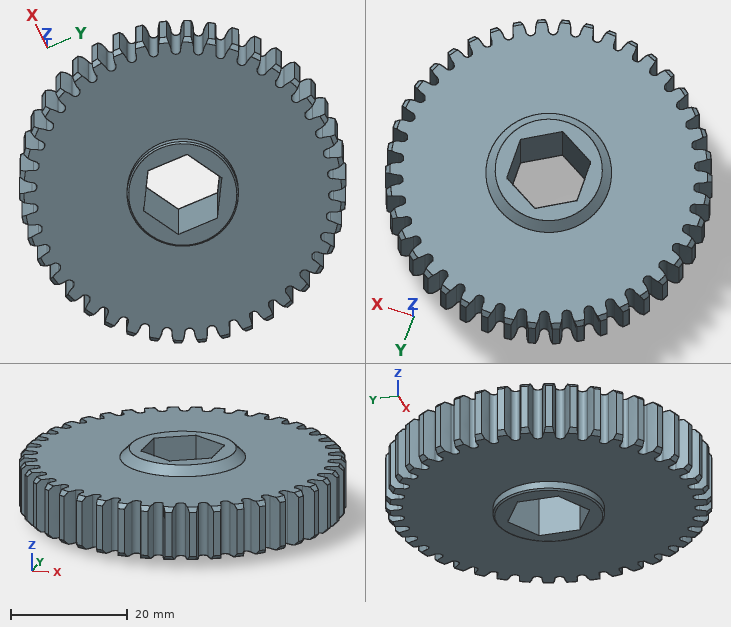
import cadquery as cq
import math

tooth_count = 42
outer_diameter = 55.9
pressure_angle = math.radians(14.5)
root_radius = 25.0
flank_point_count = 6

module = outer_diameter / (tooth_count + 2)
outer_radius = outer_diameter / 2
pitch_radius = module * tooth_count / 2
base_radius = pitch_radius * math.cos(pressure_angle)
cutter_radius = outer_radius + 0.55

total_height = 12.7
face_width = 9.5
tooth_chamfer = 0.8

hub_height = (total_height - face_width) / 2
top_hub_diameter = 21.5
bottom_hub_diameter = 19.05
bottom_hub_chamfer = 0.3
hex_across_flats = 12.7


def involute(angle):
    """Involute function: polar angle swept by the curve at a given pressure angle."""
    return math.tan(angle) - angle


def gap_half_angle(radius):
    """Half of the angle between the two flanks of a tooth gap at a radius."""
    local_pressure_angle = math.acos(base_radius / radius)
    quarter_pitch = math.pi / (2 * tooth_count)
    return quarter_pitch + involute(local_pressure_angle) - involute(pressure_angle)


def flank_points(side):
    """Points along one gap flank, from the base circle outward; side is +1 or -1."""
    largest_roll = math.tan(math.acos(base_radius / cutter_radius))
    points = []
    for i in range(flank_point_count):
        roll = largest_roll * i / (flank_point_count - 1)
        radius = base_radius * math.sqrt(1 + roll**2)
        angle = side * gap_half_angle(radius)
        points.append((radius * math.cos(angle), radius * math.sin(angle)))
    return points


def tooth_gap():
    """Cutter for one gap centred on +X: two involute flanks joined by a round root."""
    upper = flank_points(1)
    lower = flank_points(-1)
    return (
        cq.Workplane("XY")
        .moveTo(*lower[0])
        .threePointArc((root_radius, 0), upper[0])
        .spline(upper[1:], includeCurrent=True)
        .lineTo(*lower[-1])
        .spline(lower[-2::-1], includeCurrent=True)
        .close()
        .extrude(face_width)
    )


def toothed_disc():
    """Chamfered disc with the tooth gaps cut out; a tooth is centred on +X."""
    disc = cq.Workplane("XY").circle(outer_radius).extrude(face_width)
    disc = disc.edges().chamfer(tooth_chamfer)
    gap = tooth_gap().val()
    pitch_angle = 360 / tooth_count
    gaps = []
    for i in range(tooth_count):
        gaps.append(gap.rotate((0, 0, 0), (0, 0, 1), (i + 0.5) * pitch_angle))
    return disc.cut(cq.Compound.makeCompound(gaps))


def top_hub():
    """Conical hub: a 45 degree bevel over its full height."""
    bevel_angle = 45
    return (
        cq.Workplane("XY")
        .workplane(offset=face_width)
        .circle(top_hub_diameter / 2)
        .extrude(hub_height, taper=bevel_angle)
    )


def bottom_hub():
    """Straight hub with a small chamfer on its end."""
    hub = cq.Workplane("XY").circle(bottom_hub_diameter / 2).extrude(-hub_height)
    return hub.faces("<Z").edges().chamfer(bottom_hub_chamfer)


def hex_bore():
    """Hexagonal through bore with two corners on the Y axis."""
    across_corners = hex_across_flats / math.cos(math.pi / 6)
    return (
        cq.Workplane("XY")
        .workplane(offset=-hub_height)
        .transformed(rotate=(0, 0, 90))
        .polygon(6, across_corners)
        .extrude(total_height)
    )


result = toothed_disc().union(top_hub()).union(bottom_hub()).cut(hex_bore())